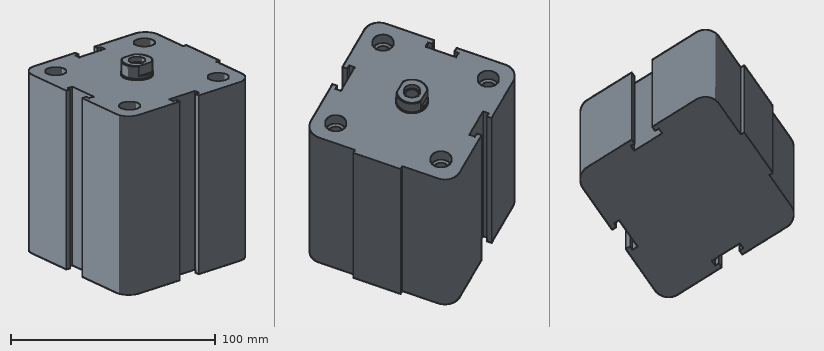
import cadquery as cq

total_height = 102.5
body_width = 80.0
body_height = 95.0
corner_radius = 8.0

rib_width = 25.4
rib_height = 2.0

slot_mouth_width = 12.0
slot_inner_width = 16.4
slot_lip = 2.6
slot_depth = 5.5
slot_angles = (-90, 0, 90)

hole_spacing = 56.5
counterbore_diameter = 10.5
counterbore_depth = 6.5
screw_hole_diameter = 6.7
screw_hole_depth = 20.5

shank_diameter = 16.0
shank_seat_depth = 14.7
shank_exposed_height = 0.8
tip_diameter = 15.6
tip_chamfer = 0.4
flat_width = 13.0
flat_height = 5.3

recess_diameter = 8.2
recess_depth = 2.7
thread_diameter = 6.7
thread_depth = 12.3

half_width = body_width / 2
seat_floor = body_height - shank_seat_depth
shank_height = shank_seat_depth + shank_exposed_height
tip_height = total_height - body_height - shank_exposed_height
flat_floor = total_height - flat_height


def cylinder(diameter, height, base):
    """Upright cylinder on the Z axis that stands at the height `base`."""
    return cq.Workplane("XY").workplane(offset=base).circle(diameter / 2).extrude(height)


def t_slot_cutter():
    """Full-height T-slot that opens toward -Y."""
    mouth_edge = -half_width
    lip_edge = mouth_edge + slot_lip
    floor_edge = mouth_edge + slot_depth
    half_mouth = slot_mouth_width / 2
    half_inner = slot_inner_width / 2
    return (
        cq.Workplane("XY")
        .moveTo(-half_mouth, mouth_edge)
        .lineTo(-half_mouth, lip_edge)
        .lineTo(-half_inner, lip_edge)
        .lineTo(-half_inner, floor_edge)
        .lineTo(half_inner, floor_edge)
        .lineTo(half_inner, lip_edge)
        .lineTo(half_mouth, lip_edge)
        .lineTo(half_mouth, mouth_edge)
        .close()
        .extrude(body_height)
    )


def make_housing():
    housing = (
        cq.Workplane("XY")
        .box(body_width, body_width, body_height, centered=(True, True, False))
        .edges("|Z")
        .fillet(corner_radius)
    )

    rib = cq.Workplane("XY").box(
        rib_width, half_width + rib_height, body_height, centered=(True, False, False)
    )
    housing = housing.union(rib)

    for angle in slot_angles:
        housing = housing.cut(t_slot_cutter().rotate((0, 0, 0), (0, 0, 1), angle))

    housing = (
        housing.faces(">Z")
        .workplane(origin=(0, 0, body_height))
        .rect(hole_spacing, hole_spacing, forConstruction=True)
        .vertices()
        .cboreHole(screw_hole_diameter, counterbore_diameter, counterbore_depth, screw_hole_depth)
    )

    return housing.cut(cylinder(shank_diameter, shank_seat_depth, seat_floor))


def make_rod():
    shank = cylinder(shank_diameter, shank_height, seat_floor)
    tip = cylinder(tip_diameter, tip_height, body_height + shank_exposed_height)
    tip = tip.faces(">Z").chamfer(tip_chamfer)
    rod = shank.union(tip)

    for side in (-1, 1):
        flat_cutter = (
            cq.Workplane("XY")
            .box(tip_diameter, tip_diameter, flat_height, centered=(True, True, False))
            .translate((side * (flat_width + tip_diameter) / 2, 0, flat_floor))
        )
        rod = rod.cut(flat_cutter)

    return (
        rod.faces(">Z")
        .workplane(origin=(0, 0, total_height))
        .cboreHole(thread_diameter, recess_diameter, recess_depth, thread_depth)
    )


housing = make_housing()
rod = make_rod()
result = cq.Compound.makeCompound([housing.val(), rod.val()])